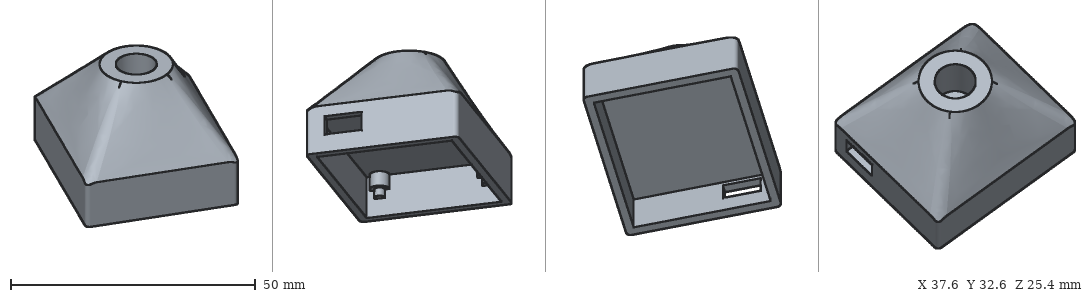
import cadquery as cq
import math

length = 37.6
width = 32.6
height = 25.4
hood_height = 15.0
base_height = height - hood_height
corner_radius = 0.98
crease_radius = 3.0
top_diameter = 15.0

socket_diameter = 8.4
socket_depth = 10.0

wall = 1.88
cavity_height = 9.02

window_width = 7.97
window_height = 4.02
window_bottom = 4.0
window_edge_gap = 4.0

post_diameter = 4.1
pin_diameter = 2.2
post_bottom = 5.83
pin_bottom = window_bottom
post_inset_x = 2.25
post_inset_y = 4.78


def make_hood():
    """Loft from the sharp rectangle of the base to the round top.

    The circle is split on the rectangle's diagonals, so each side of the
    rectangle blends into one arc.
    """
    half_x = length / 2
    half_y = width / 2
    top_radius = top_diameter / 2
    diagonal = math.hypot(half_x, half_y)
    arc_x = top_radius * half_x / diagonal
    arc_y = top_radius * half_y / diagonal
    return (
        cq.Workplane("XY")
        .workplane(offset=base_height)
        .rect(length, width)
        .workplane(offset=hood_height)
        .moveTo(-arc_x, -arc_y)
        .threePointArc((0, -top_radius), (arc_x, -arc_y))
        .threePointArc((top_radius, 0), (arc_x, arc_y))
        .threePointArc((0, top_radius), (-arc_x, arc_y))
        .threePointArc((-top_radius, 0), (-arc_x, -arc_y))
        .close()
        .loft(ruled=True, combine=True)
    )


def make_body():
    """Block and hood, with broad rounds on the hood creases and small ones on the block corners."""
    block = cq.Workplane("XY").box(length, width, base_height, centered=(True, True, False))
    body = block.union(make_hood())
    creases = [
        edge for edge in body.edges().vals()
        if edge.BoundingBox().zmin > base_height / 2 and edge.BoundingBox().zlen > hood_height / 2
    ]
    return body.newObject(creases).fillet(crease_radius).edges("|Z").fillet(corner_radius)


def make_cavity():
    return cq.Workplane("XY").box(
        length - 2 * wall, width - 2 * wall, cavity_height, centered=(True, True, False)
    )


def make_window():
    return (
        cq.Workplane("XY")
        .box(wall, window_width, window_height, centered=(False, False, False))
        .translate((-length / 2, width / 2 - window_edge_gap - window_width, window_bottom))
    )


def make_posts():
    """Two posts partly sunk in the +X wall, each with a thinner round pin below."""
    post_x = length / 2 - post_inset_x
    post_y = width / 2 - post_inset_y

    def cylinders(diameter, bottom):
        return (
            cq.Workplane("XY")
            .workplane(offset=bottom)
            .pushPoints([(post_x, -post_y), (post_x, post_y)])
            .circle(diameter / 2)
            .extrude(cavity_height - bottom)
        )

    return cylinders(post_diameter, post_bottom).union(cylinders(pin_diameter, pin_bottom))


result = (
    make_body()
    .cut(make_cavity())
    .cut(make_window())
    .union(make_posts())
    .faces(">Z")
    .workplane(origin=(0, 0, height))
    .hole(socket_diameter, socket_depth)
)